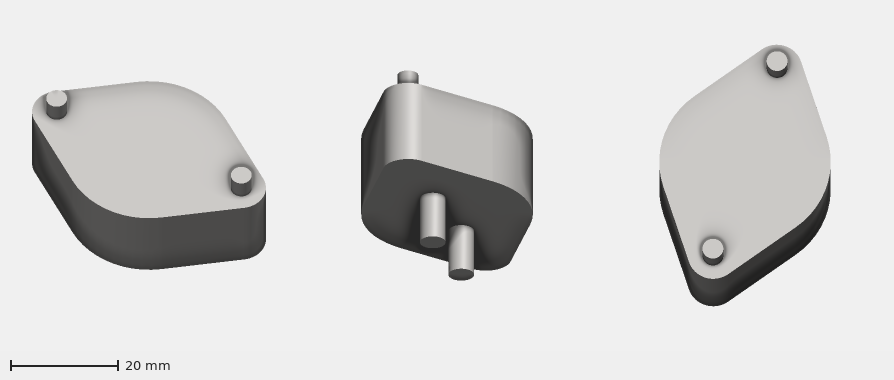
import cadquery as cq
import math

overall_side = 36.72
core_radius = 16.0
end_radius = 4.75
body_height = 16.0
upper_pin_diameter = 3.9
upper_pin_height = 4.0
upper_pin_offset = 13.75
lower_pin_diameter = 4.8
lower_pin_length = 9.18
lower_pin_offset = 5.0

end_offset = overall_side / 2 - end_radius
end_distance = math.hypot(end_offset, end_offset)

diagonal_angle = 45.0
flat_angle = math.degrees(math.acos((core_radius - end_radius) / end_distance))


def core_point(angle):
    """Point on the core circle, at an angle from the long diagonal."""
    direction = math.radians(diagonal_angle + angle)
    return core_radius * math.cos(direction), core_radius * math.sin(direction)


def end_point(angle, side):
    """Point on an end circle; side is +1 for the +X +Y end and -1 for the other."""
    direction = math.radians(diagonal_angle + angle)
    return (
        side * (end_offset + end_radius * math.cos(direction)),
        side * (end_offset + end_radius * math.sin(direction)),
    )


def make_body():
    """Lozenge block: two large arcs and two end arcs joined by tangent flats."""
    outline = cq.Workplane("XY").moveTo(*end_point(-flat_angle, 1))
    outline = (
        outline.threePointArc(end_point(0, 1), end_point(flat_angle, 1))
        .lineTo(*core_point(flat_angle))
        .threePointArc(core_point(90), core_point(180 - flat_angle))
        .lineTo(*end_point(-flat_angle, -1))
        .threePointArc(end_point(0, -1), end_point(flat_angle, -1))
        .lineTo(*core_point(180 + flat_angle))
        .threePointArc(core_point(270), core_point(-flat_angle))
        .close()
    )
    return outline.extrude(body_height)


def make_pin_pair(offset, diameter, base_height, length):
    """Two pins on the long diagonal; a negative length extends downwards."""
    return (
        cq.Workplane("XY", origin=(0, 0, base_height))
        .pushPoints([(-offset, -offset), (offset, offset)])
        .circle(diameter / 2)
        .extrude(length)
    )


upper_pins = make_pin_pair(upper_pin_offset, upper_pin_diameter, body_height, upper_pin_height)
lower_pins = make_pin_pair(lower_pin_offset, lower_pin_diameter, 0, -lower_pin_length)

result = make_body().union(upper_pins).union(lower_pins)